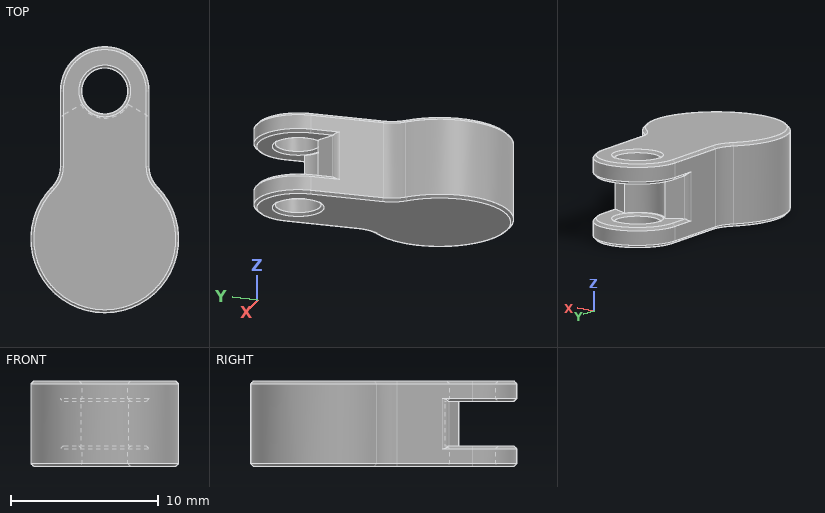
import math

import cadquery as cq

HEIGHT = 5.8
DISC_RADIUS = 5.0
ARM_RADIUS = 3.0
EYE_Y = 10.0
NECK_RADIUS = 2.0
CHAMFER = 0.2
EYE_RADIUS = 1.55
CORE_EYE_RADIUS = 1.85
SLOT_HEIGHT = 3.0
STOP_ANGLE = 30.0
STOP_CORNER_RADIUS = 0.5

PRONG_THICKNESS = (HEIGHT - SLOT_HEIGHT) / 2

NECK_X = ARM_RADIUS + NECK_RADIUS
NECK_Y = math.sqrt((DISC_RADIUS + NECK_RADIUS) ** 2 - NECK_X**2)


def polar_point(center_x, center_y, radius, angle):
    """Point on a circle, with the angle in degrees from the X axis."""
    turn = math.radians(angle)
    x = center_x + radius * math.cos(turn)
    y = center_y + radius * math.sin(turn)
    return (x, y)


def mirrored(point):
    """Matching point on the other side of the YZ plane."""
    return (-point[0], point[1])


NECK_ANGLE = math.degrees(math.atan2(NECK_Y, NECK_X))
DISC_END = polar_point(0, 0, DISC_RADIUS, NECK_ANGLE)
NECK_MID = polar_point(NECK_X, NECK_Y, NECK_RADIUS, 180 + NECK_ANGLE / 2)
NECK_END = (ARM_RADIUS, NECK_Y)


def lower_outline():
    """Open outline from the left arm side, round the disc, to the right arm side."""
    return (
        cq.Workplane("XY")
        .moveTo(*mirrored(NECK_END))
        .threePointArc(mirrored(NECK_MID), mirrored(DISC_END))
        .threePointArc((0, -DISC_RADIUS), DISC_END)
        .threePointArc(NECK_MID, NECK_END)
    )


def eye_cutter(radius):
    """Cylinder on the eye axis, tall enough to pass through the whole part."""
    return cq.Workplane("XY").center(0, EYE_Y).cylinder(2 * HEIGHT, radius)


def prong_plate(z_center):
    """Full-outline plate with the eye, chamfered on both faces."""
    plate = (
        lower_outline()
        .lineTo(ARM_RADIUS, EYE_Y)
        .threePointArc((0, EYE_Y + ARM_RADIUS), (-ARM_RADIUS, EYE_Y))
        .close()
        .extrude(PRONG_THICKNESS / 2, both=True)
        .cut(eye_cutter(EYE_RADIUS))
        .faces("|Z")
        .chamfer(CHAMFER)
    )
    return plate.translate((0, 0, z_center))


def core():
    """Body between the prongs, ending in two sloped stop faces that aim at the eye axis."""
    corner_y = EYE_Y - ARM_RADIUS * math.tan(math.radians(STOP_ANGLE))
    body = (
        lower_outline()
        .lineTo(ARM_RADIUS, corner_y)
        .lineTo(0, EYE_Y)
        .lineTo(-ARM_RADIUS, corner_y)
        .close()
        .extrude(SLOT_HEIGHT / 2 + CHAMFER, both=True)
    )
    for corner_x in (-ARM_RADIUS, ARM_RADIUS):
        corner = cq.selectors.NearestToPointSelector((corner_x, corner_y, 0))
        body = body.edges("|Z").edges(corner).fillet(STOP_CORNER_RADIUS)
    return body.cut(eye_cutter(CORE_EYE_RADIUS))


PRONG_Z = (HEIGHT - PRONG_THICKNESS) / 2
result = core().union(prong_plate(PRONG_Z)).union(prong_plate(-PRONG_Z))